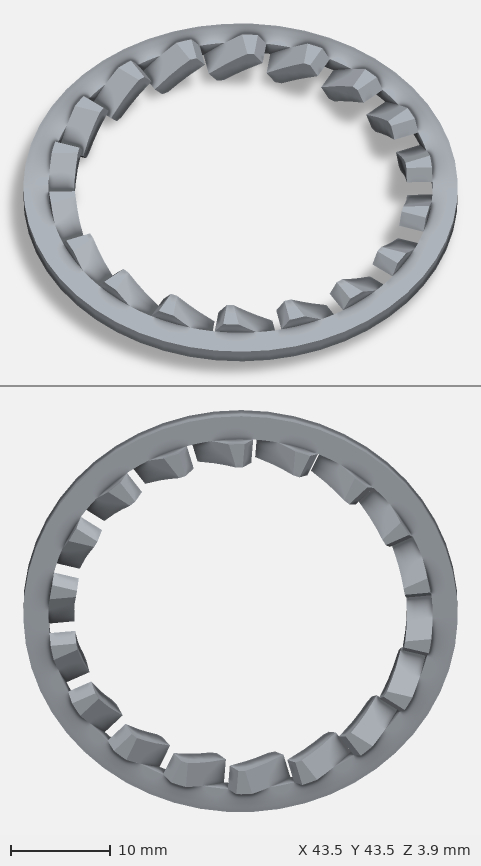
import cadquery as cq
import math

outer_diameter = 43.5
bore_diameter = 38.45
ring_thickness = 1.5

tooth_count = 18
tooth_height = 3.9
tooth_tip_diameter = 33.3
tooth_tilt = math.radians(35)
gap_width = 0.4
pitch_angle = 360 / tooth_count

cut_clearance = 1.3


def tube(outer, inner, height):
    """Plain tube centred on the origin."""
    return (
        cq.Workplane("XY", origin=(0, 0, -height / 2))
        .circle(outer / 2)
        .circle(inner / 2)
        .extrude(height)
    )


def gap_cutter():
    """Opening between two teeth at the -Y side, with a constant profile along its radial axis.

    Each tooth is a tilted bar. Its corner stands at the narrowest part of the gap, level with a face
    of the ring, where its short end and one long side meet at a right angle.
    """
    half_height = tooth_height / 2
    corner_x = gap_width / 2
    corner_z = ring_thickness / 2
    end_x = corner_x + (half_height - corner_z) * math.tan(tooth_tilt)
    side_x = corner_x + (half_height + corner_z) / math.tan(tooth_tilt)
    cut_start = tooth_tip_diameter / 2 - cut_clearance
    cut_end = bore_diameter / 2 + cut_clearance
    return (
        cq.Workplane("XZ", origin=(0, -cut_start, 0))
        .moveTo(end_x, half_height)
        .lineTo(corner_x, corner_z)
        .lineTo(side_x, -half_height)
        .lineTo(-end_x, -half_height)
        .lineTo(-corner_x, -corner_z)
        .lineTo(-side_x, half_height)
        .close()
        .extrude(cut_end - cut_start)
    )


teeth = tube(bore_diameter, tooth_tip_diameter, tooth_height)
cutter = gap_cutter()
for index in range(tooth_count):
    teeth = teeth.cut(cutter.rotate((0, 0, 0), (0, 0, 1), index * pitch_angle))

result = tube(outer_diameter, bore_diameter, ring_thickness).union(teeth)